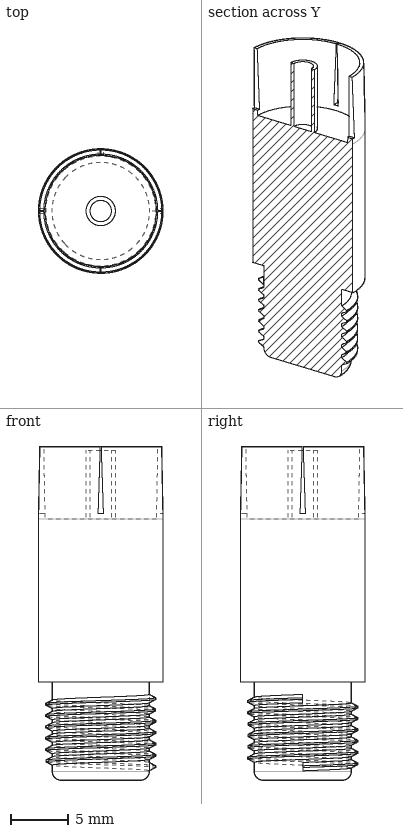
import cadquery as cq
import math

total_height = 29.2
neck_height = 8.6
socket_floor_z = 22.87

body_radius = 5.45
neck_radius = 4.26
neck_end_fillet = 0.8

socket_rim_radius = 5.35
socket_bore_rim_radius = 5.0
socket_bore_floor_radius = 4.88

slot_count = 4
slot_floor_z = 23.37
slot_floor_width = 0.47
slot_rim_width = 0.1

contact_radius = 1.29
contact_bore_radius = 0.93
contact_top_z = 28.9

thread_radius = 4.82
thread_pitch = 1.0
thread_turns = 6
thread_start_z = 1.2
thread_base_width = 0.73
thread_crest_width = 0.15
thread_overlap = 0.1


def make_neck():
    neck = cq.Workplane("XY").circle(neck_radius).extrude(neck_height)
    return neck.faces("<Z").edges().fillet(neck_end_fillet)


def make_thread():
    """Helical ridge with a trapezoidal section that starts and ends on +X."""
    root_radius = neck_radius - thread_overlap
    flank_slope = (thread_base_width - thread_crest_width) / (thread_radius - neck_radius) / 2
    half_root = thread_base_width / 2 + flank_slope * thread_overlap
    half_crest = thread_crest_width / 2
    helix = cq.Wire.makeHelix(thread_pitch, thread_pitch * thread_turns, root_radius)
    ridge = (
        cq.Workplane("XZ")
        .polyline([
            (root_radius, -half_root),
            (thread_radius, -half_crest),
            (thread_radius, half_crest),
            (root_radius, half_root),
        ])
        .close()
        .sweep(cq.Workplane(helix), isFrenet=True)
    )
    return ridge.translate((0, 0, thread_start_z))


def make_body():
    """Cylinder below, then a socket whose outside curves gently in to the rim."""
    socket_depth = total_height - socket_floor_z
    rim_inset = body_radius - socket_rim_radius
    barrel_radius = (socket_depth**2 + rim_inset**2) / (2 * rim_inset)
    half_angle = math.asin(socket_depth / barrel_radius) / 2
    arc_middle = (
        body_radius - barrel_radius * (1 - math.cos(half_angle)),
        socket_floor_z + barrel_radius * math.sin(half_angle),
    )
    return (
        cq.Workplane("XZ")
        .moveTo(0, neck_height)
        .lineTo(body_radius, neck_height)
        .lineTo(body_radius, socket_floor_z)
        .threePointArc(arc_middle, (socket_rim_radius, total_height))
        .lineTo(socket_bore_rim_radius, total_height)
        .lineTo(socket_bore_floor_radius, socket_floor_z)
        .lineTo(0, socket_floor_z)
        .close()
        .revolve(360, (0, 0, 0), (0, 1, 0))
    )


def make_slot(angle):
    """Wedge cutter through one side of the socket wall, narrowing to the rim."""
    slot = (
        cq.Workplane("YZ")
        .polyline([
            (-slot_floor_width / 2, slot_floor_z),
            (slot_floor_width / 2, slot_floor_z),
            (slot_rim_width / 2, total_height),
            (-slot_rim_width / 2, total_height),
        ])
        .close()
        .extrude(body_radius)
    )
    return slot.rotate((0, 0, 0), (0, 0, 1), angle)


def make_contact():
    return (
        cq.Workplane("XY")
        .workplane(offset=socket_floor_z)
        .circle(contact_radius)
        .circle(contact_bore_radius)
        .extrude(contact_top_z - socket_floor_z)
    )


body = make_body()
for index in range(slot_count):
    body = body.cut(make_slot(index * 360 / slot_count))

threaded_neck = make_neck().union(make_thread())

result = body.union(make_contact()).union(threaded_neck)